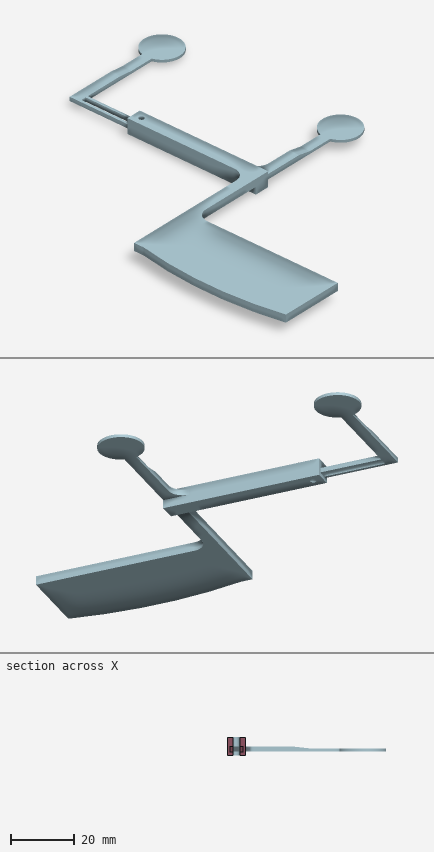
import cadquery as cq

PAD_RADIUS = 7.5
PAD_Y = -PAD_RADIUS
PAD_THICKNESS = 1.0
ARM_WIDTH = 4.0
RAMP_START_Y = -24.5
RAMP_END_Y = -29.7

OVERALL_LENGTH = 145.0
OVERALL_WIDTH = 107.4
SLEEVE_SIZE = 6.0
SLEEVE_START_X = 30.7
SLEEVE_Y = -47.5
STEM_X = 82.9
STEM_RIGHT_X = STEM_X + ARM_WIDTH / 2
STEM_LEFT_X = STEM_X - ARM_WIDTH / 2
PLATE_THICKNESS = 3.0
PLATE_BOTTOM_Z = SLEEVE_SIZE - PLATE_THICKNESS
UPPER_ARM_THICKNESS = 2.0
PLATE_TOP_Y = -79.4
PLATE_CORNER_Y = -104.4
FILLET_RADIUS = 5.0
PIN_HOLE_DIAMETER = 2.0
PIN_HOLE_INSET = 3.3
PIN_HOLE_X = SLEEVE_START_X + PIN_HOLE_INSET

SLIDER_THICKNESS = 1.6
SLIDER_BOTTOM_Z = 1.3
LEFT_ARM_X = PAD_RADIUS
FORK_WIDTH = 4.0
FORK_SLOT_WIDTH = 2.0
FORK_INSERTION = 6.1
FORK_END_X = SLEEVE_START_X + FORK_INSERTION
FORK_BOTTOM_Y = SLEEVE_Y - FORK_WIDTH / 2


def box(x_min, x_max, y_min, y_max, z_min, z_max):
    """Box given by its limits along each axis."""
    size = (x_max - x_min, y_max - y_min, z_max - z_min)
    return cq.Workplane("XY").box(*size, centered=False).translate((x_min, y_min, z_min))


def padded_arm(center_x, end_y, bottom_z, thickness):
    """Arm along Y that slopes down to a thin neck carrying a round pad."""
    pad_top_z = bottom_z + PAD_THICKNESS
    arm_top_z = bottom_z + thickness
    arm = (
        cq.Workplane("YZ", origin=(center_x, 0, 0))
        .moveTo(PAD_Y, bottom_z)
        .lineTo(PAD_Y, pad_top_z)
        .lineTo(RAMP_START_Y, pad_top_z)
        .lineTo(RAMP_END_Y, arm_top_z)
        .lineTo(end_y, arm_top_z)
        .lineTo(end_y, bottom_z)
        .close()
        .extrude(ARM_WIDTH / 2, both=True)
    )
    pad = (
        cq.Workplane("XY", origin=(center_x, PAD_Y, bottom_z))
        .circle(PAD_RADIUS)
        .extrude(PAD_THICKNESS)
    )
    return arm.union(pad)


def corner_web(corner_x, corner_y, x_side, y_side, thickness):
    """Concave fillet in an inside corner that opens toward the given sides."""
    reach_x = corner_x + x_side * FILLET_RADIUS
    reach_y = corner_y + y_side * FILLET_RADIUS
    square = box(
        min(corner_x, reach_x), max(corner_x, reach_x),
        min(corner_y, reach_y), max(corner_y, reach_y),
        PLATE_BOTTOM_Z, PLATE_BOTTOM_Z + thickness,
    )
    round_cut = (
        cq.Workplane("XY", origin=(reach_x, reach_y, PLATE_BOTTOM_Z))
        .circle(FILLET_RADIUS)
        .extrude(thickness)
    )
    return square.cut(round_cut)


def make_handle():
    """Lower stem and wide plate with a bowed lower edge."""
    bow_middle_x = (STEM_RIGHT_X + OVERALL_LENGTH) / 2
    return (
        cq.Workplane("XY", origin=(0, 0, PLATE_BOTTOM_Z))
        .moveTo(STEM_LEFT_X, SLEEVE_Y)
        .lineTo(STEM_RIGHT_X, SLEEVE_Y)
        .lineTo(STEM_RIGHT_X, PLATE_TOP_Y)
        .lineTo(OVERALL_LENGTH, PLATE_TOP_Y)
        .lineTo(OVERALL_LENGTH, PLATE_CORNER_Y)
        .threePointArc((bow_middle_x, -OVERALL_WIDTH), (STEM_RIGHT_X, PLATE_CORNER_Y))
        .lineTo(STEM_LEFT_X, PLATE_CORNER_Y)
        .close()
        .extrude(PLATE_THICKNESS)
    )


def make_frame():
    sleeve_top_y = SLEEVE_Y + SLEEVE_SIZE / 2
    sleeve_bottom_y = SLEEVE_Y - SLEEVE_SIZE / 2
    sleeve = box(SLEEVE_START_X, STEM_RIGHT_X, sleeve_bottom_y, sleeve_top_y, 0, SLEEVE_SIZE)
    channel = box(
        SLEEVE_START_X, FORK_END_X,
        FORK_BOTTOM_Y, FORK_BOTTOM_Y + FORK_WIDTH,
        SLIDER_BOTTOM_Z, SLIDER_BOTTOM_Z + SLIDER_THICKNESS,
    )
    pin_hole = (
        cq.Workplane("XY", origin=(PIN_HOLE_X, SLEEVE_Y, 0))
        .circle(PIN_HOLE_DIAMETER / 2)
        .extrude(SLEEVE_SIZE)
    )
    return (
        sleeve
        .union(make_handle())
        .union(padded_arm(STEM_X, SLEEVE_Y, PLATE_BOTTOM_Z, UPPER_ARM_THICKNESS))
        .union(corner_web(STEM_LEFT_X, sleeve_top_y, -1, 1, UPPER_ARM_THICKNESS))
        .union(corner_web(STEM_LEFT_X, sleeve_bottom_y, -1, -1, PLATE_THICKNESS))
        .union(corner_web(STEM_RIGHT_X, PLATE_TOP_Y, 1, 1, PLATE_THICKNESS))
        .cut(channel)
        .cut(pin_hole)
    )


def make_slider():
    slider_top_z = SLIDER_BOTTOM_Z + SLIDER_THICKNESS
    leg_width = (FORK_WIDTH - FORK_SLOT_WIDTH) / 2
    slider = padded_arm(LEFT_ARM_X, FORK_BOTTOM_Y, SLIDER_BOTTOM_Z, SLIDER_THICKNESS)
    for leg_y in (FORK_BOTTOM_Y, FORK_BOTTOM_Y + FORK_WIDTH - leg_width):
        leg = box(
            LEFT_ARM_X, FORK_END_X, leg_y, leg_y + leg_width, SLIDER_BOTTOM_Z, slider_top_z
        )
        slider = slider.union(leg)
    return slider


frame = make_frame()
slider = make_slider()
result = cq.Compound.makeCompound([frame.val(), slider.val()])